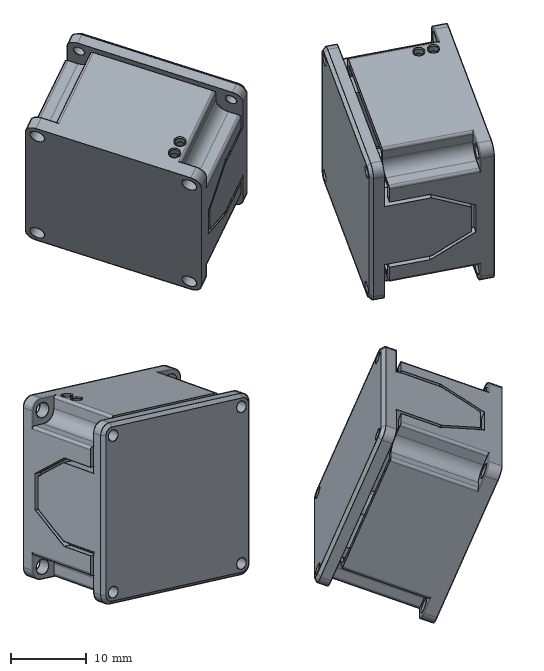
import cadquery as cq
import math

side = 25.0
half = side / 2
depth = 17.02
corner_radius = 1.5

lid_thickness = 2.0
lid_chamfer = 0.5
lid_front = depth - lid_thickness

gap = 0.68
housing_depth = lid_front - gap

flange_thickness = 1.95
flange_rim_radius = 0.1

wall = 1.0
relief_wall = 0.6

screw_inset = 1.7
screw_spacing = side - 2 * screw_inset
flange_hole_diameter = 2.1
lid_hole_diameter = 1.6

relief_size = 3.6
relief_inner_radius = 1.8
relief_edge_radius = 0.4

tab_thickness = 3.42
tab_half_height = 5.42
tab_tip_half_height = 2.25
tab_tip_y = 3.1
taper_angle = 30.0

channel_half_height = tab_half_height + gap
channel_tip_half_height = 2.5
channel_tip_y = 2.52

port_x = 7.5
port_y_positions = (3.0, 5.0)
port_diameter = 1.3
port_countersink = 0.15


def plate(front, thickness):
    """Square plate with rounded corners, its front face at Y = front."""
    return (
        cq.Workplane("XZ", origin=(0, front, 0))
        .rect(side, side)
        .extrude(-thickness)
        .edges("|Y")
        .fillet(corner_radius)
    )


def screw_holes(diameter):
    """Four corner cylinders running the full depth of the stack."""
    return (
        cq.Workplane("XZ")
        .rect(screw_spacing, screw_spacing, forConstruction=True)
        .vertices()
        .circle(diameter / 2)
        .extrude(-depth)
    )


def tapered_prism(x_start, x_length, back, half_height, tip_y, tip_half_height):
    """Prism along X whose YZ outline narrows toward a flat tip at the front."""
    shoulder_y = tip_y + (half_height - tip_half_height) / math.tan(math.radians(taper_angle))
    outline = [
        (back, half_height),
        (shoulder_y, half_height),
        (tip_y, tip_half_height),
        (tip_y, -tip_half_height),
        (shoulder_y, -half_height),
        (back, -half_height),
    ]
    return cq.Workplane("YZ", origin=(x_start, 0, 0)).polyline(outline).close().extrude(x_length)


def cross_bar(front, half_width, half_arm, inner_radius):
    """Cross-shaped bar from Y = front to the back of the housing, with rounded inner corners."""
    length = housing_depth - front
    bar = cq.Workplane("XZ", origin=(0, front, 0)).rect(2 * half_width, 2 * half_arm).extrude(-length)
    upright = cq.Workplane("XZ", origin=(0, front, 0)).rect(2 * half_arm, 2 * half_width).extrude(-length)
    reach = (half_width + half_arm) / 2
    inner_edges = cq.selectors.BoxSelector((-reach, front, -reach), (reach, housing_depth, reach))
    return bar.union(upright).edges("|Y").edges(inner_edges).fillet(inner_radius)


def make_core():
    """Cross-shaped bar of full depth whose inner corners form the four reliefs."""
    core = cross_bar(0, half, half - relief_size, relief_inner_radius)
    return core.faces("<X or >X or <Z or >Z").edges("|Y").fillet(relief_edge_radius)


def make_port(port_y):
    """Cutter for a countersunk hole through the top wall."""
    top = cq.Workplane("XY", origin=(port_x, port_y, half))
    bore = top.circle(port_diameter / 2).extrude(-wall)
    mouth_radius = port_diameter / 2 + port_countersink
    countersink = top.circle(mouth_radius).extrude(-port_countersink, taper=45)
    return bore.union(countersink)


def make_housing():
    """Hollow housing: flange and cross-shaped core, open at the back."""
    flange = plate(0, flange_thickness).faces(">Y").edges().fillet(flange_rim_radius)
    housing = flange.union(make_core())
    housing = housing.cut(screw_holes(flange_hole_diameter))
    cavity_half_arm = half - relief_size - relief_wall
    cavity = cross_bar(wall, half - wall, cavity_half_arm, relief_inner_radius + relief_wall)
    housing = housing.cut(cavity)
    channel = tapered_prism(
        -half, side, housing_depth, channel_half_height, channel_tip_y, channel_tip_half_height
    )
    housing = housing.cut(channel)
    for port_y in port_y_positions:
        housing = housing.cut(make_port(port_y))
    return housing


def make_lid():
    """Chamfered lid plate with a tapered tab reaching forward on each side."""
    lid = plate(lid_front, lid_thickness).faces(">Y").chamfer(lid_chamfer)
    lid = lid.cut(screw_holes(lid_hole_diameter))
    for x_start in (-half, half - tab_thickness):
        tab = tapered_prism(
            x_start, tab_thickness, lid_front, tab_half_height, tab_tip_y, tab_tip_half_height
        )
        lid = lid.union(tab)
    return lid


housing = make_housing()
lid = make_lid()
result = cq.Compound.makeCompound([housing.val(), lid.val()])